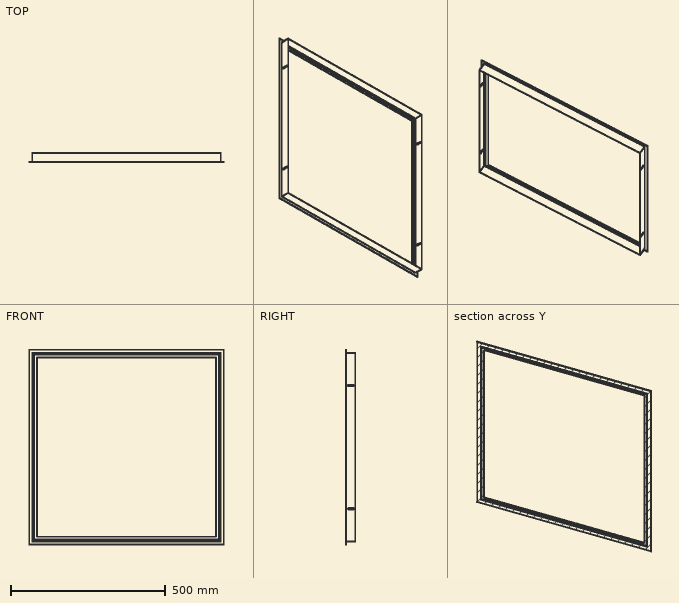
import cadquery as cq

outer_size = 632.0
depth = 31.0

flange_width = 26.0
flange_thickness = 2.0

wall_inset = 10.0
wall_thickness = 1.0
wall_height = depth - flange_thickness

groove_inset = 15.0
groove_width = 2.0
groove_depth = flange_thickness / 2

slot_spacing = 400.0
slots_per_side = 2
slot_length = 18.0
slot_height = 4.0
slot_center_from_back = 14.0

front_y = -depth / 2
back_y = depth / 2
flange_back_y = front_y + flange_thickness


def square_ring(inset, width, start_y, length):
    """Square ring set in from the frame outline, extruded from start_y toward +Y."""
    ring_size = outer_size - 2 * inset
    opening_size = ring_size - 2 * width
    return (
        cq.Workplane("XZ", origin=(0, start_y, 0))
        .rect(ring_size, ring_size)
        .rect(opening_size, opening_size)
        .extrude(-length)
    )


def slot_cutters():
    """Slots lying along Y that pass through both side walls."""
    slot_y = back_y - slot_center_from_back
    return (
        cq.Workplane("YZ", origin=(0, slot_y, 0))
        .rarray(1, slot_spacing, 1, slots_per_side)
        .slot2D(slot_length, slot_height)
        .extrude(outer_size / 2, both=True)
    )


flange = square_ring(0, flange_width, front_y, flange_thickness)
wall = square_ring(wall_inset, wall_thickness, flange_back_y, wall_height)
groove = square_ring(groove_inset, groove_width, flange_back_y - groove_depth, groove_depth)

result = flange.union(wall).cut(groove).cut(slot_cutters())